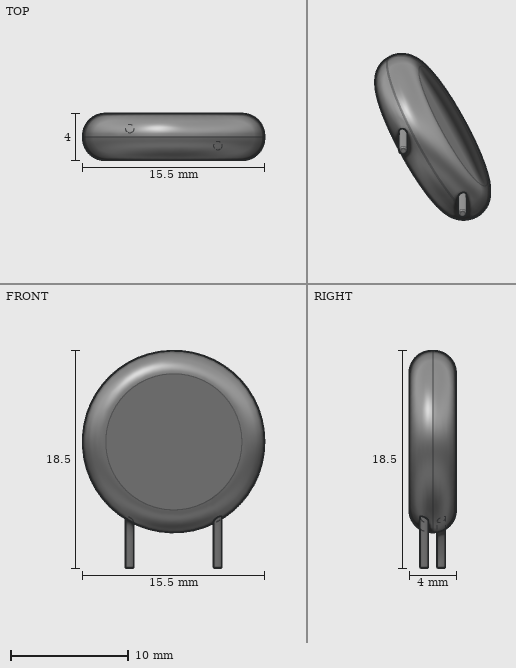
import cadquery as cq

disc_diameter = 15.5
disc_thickness = 4.0
rim_band_width = 0.1
rim_fillet = (disc_thickness - rim_band_width) / 2

lead_diameter = 0.72
lead_spacing = 7.5
lead_stagger = 1.45
lead_protrusion = 3.03
lead_tip_fillet = 0.144

disc_radius = disc_diameter / 2
lead_bottom = -lead_protrusion
lead_top = disc_radius / 2


def make_disc():
    """Disc with both rims rounded, resting on Z = 0."""
    return (
        cq.Workplane("XZ", origin=(0, 0, disc_radius))
        .circle(disc_radius)
        .extrude(disc_thickness / 2, both=True)
        .edges("%CIRCLE")
        .fillet(rim_fillet)
    )


def make_lead(x, y):
    """Vertical round lead with a rounded lower tip."""
    return (
        cq.Workplane("XY", origin=(x, y, lead_bottom))
        .circle(lead_diameter / 2)
        .extrude(lead_top - lead_bottom)
        .faces("<Z")
        .edges()
        .fillet(lead_tip_fillet)
    )


result = make_disc()
for side in (-1, 1):
    lead = make_lead(side * lead_spacing / 2, -side * lead_stagger / 2)
    result = result.union(lead)